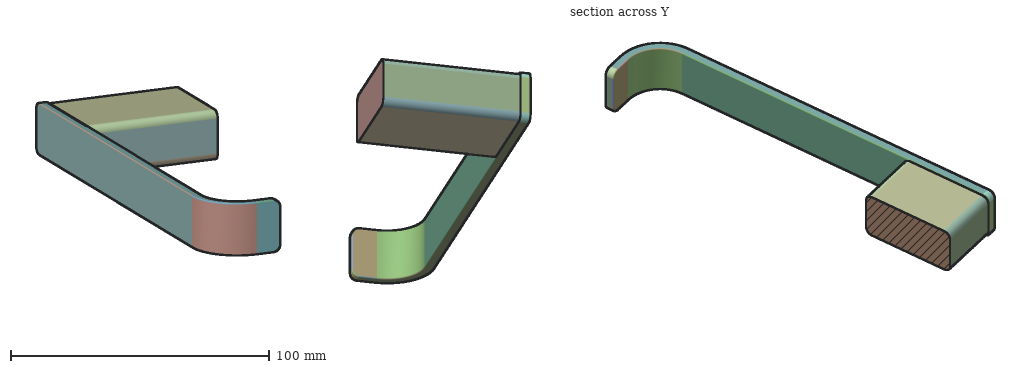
import cadquery as cq

TOTAL_LENGTH = 164.5
TOTAL_DEPTH = 59.0
ARM_HEIGHT = 21.0

ARM_THICKNESS = 4.0
HOOK_DEPTH = 29.0
BEND_OUTER_RADIUS = 19.0
BEND_INNER_RADIUS = BEND_OUTER_RADIUS - ARM_THICKNESS
ARM_CORNER_RADIUS = 3.0
ARM_EDGE_FILLET = 0.5

ARM_MARGIN = 0.5
BLOCK_WIDTH = 40.0
BLOCK_HEIGHT = ARM_HEIGHT - 2 * ARM_MARGIN
BLOCK_CORNER_RADIUS = 3.0


def make_arm():
    """J-shaped strip with rounded end corners and rounded edges around both broad faces."""
    hook_inner_x = TOTAL_LENGTH - ARM_THICKNESS
    strip = (
        cq.Workplane("XY")
        .moveTo(0, 0)
        .lineTo(TOTAL_LENGTH - BEND_OUTER_RADIUS, 0)
        .radiusArc((TOTAL_LENGTH, BEND_OUTER_RADIUS), -BEND_OUTER_RADIUS)
        .lineTo(TOTAL_LENGTH, HOOK_DEPTH)
        .lineTo(hook_inner_x, HOOK_DEPTH)
        .lineTo(hook_inner_x, BEND_OUTER_RADIUS)
        .radiusArc((hook_inner_x - BEND_INNER_RADIUS, ARM_THICKNESS), BEND_INNER_RADIUS)
        .lineTo(0, ARM_THICKNESS)
        .close()
        .extrude(ARM_HEIGHT / 2, both=True)
    )
    strip = strip.faces("<X").edges("|Y").fillet(ARM_CORNER_RADIUS)
    strip = strip.faces(">Y").edges("|X").fillet(ARM_CORNER_RADIUS)
    strip = strip.faces("<Y").edges(">Z").fillet(ARM_EDGE_FILLET)
    hook_straight_middle_y = (HOOK_DEPTH + BEND_OUTER_RADIUS) / 2
    hook_inner_face = cq.NearestToPointSelector((hook_inner_x, hook_straight_middle_y, 0))
    return strip.faces(hook_inner_face).edges(">Z").fillet(ARM_EDGE_FILLET)


def make_block():
    """Rectangular post with rounded edges along its depth."""
    start_y = ARM_THICKNESS / 2
    return (
        cq.Workplane("XY")
        .box(BLOCK_WIDTH, TOTAL_DEPTH - start_y, BLOCK_HEIGHT, centered=(False, False, True))
        .edges("|Y")
        .fillet(BLOCK_CORNER_RADIUS)
        .translate((ARM_MARGIN, start_y, 0))
    )


result = make_arm().union(make_block())